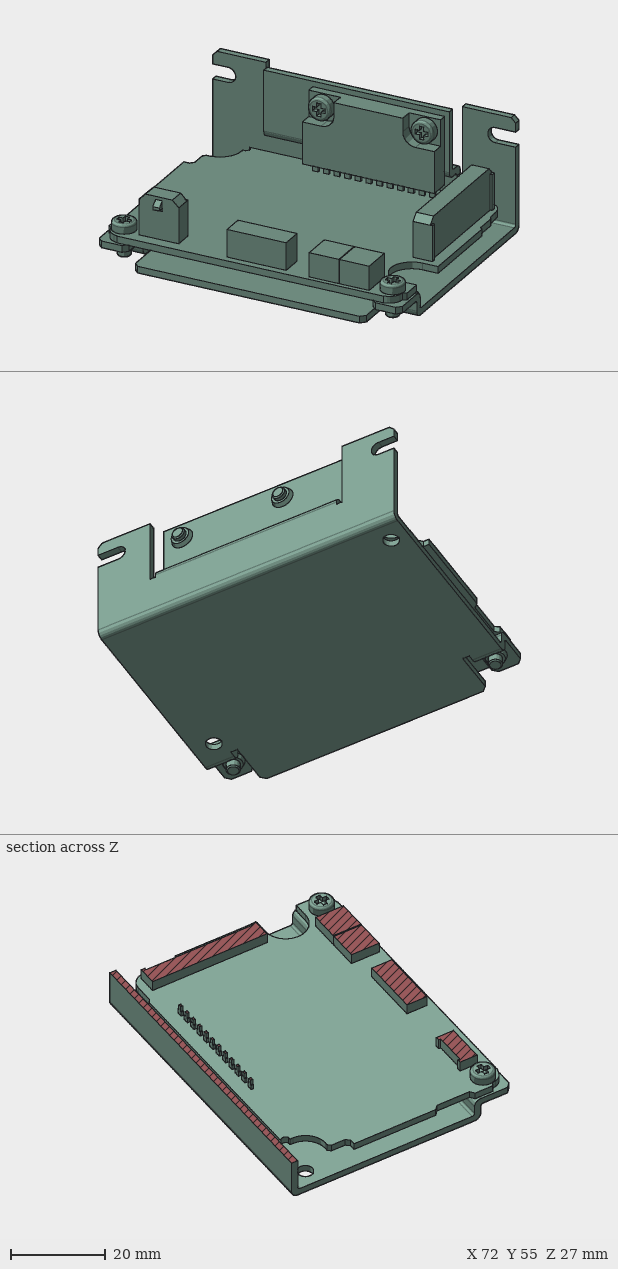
import cadquery as cq
import math


length = 72.0
depth = 55.0
height = 27.0
sheet = 1.6
bend_outer = 1.6
bend_inner = 0.6
corner_chamfer = 1.1
half_length = length / 2
hole_diameter = 3.5
base_holes = [(-31.9, -6.05), (30.9, -40.4)]

foot_inner_x = 29.0
front_edge_half = 27.4
foot_relief_y = -44.35
foot_web_y = -45.7
board_bottom = 5.6

tab_half = 22.0
relief_half = 23.3
relief_z = 10.45
tab_rear_y = -3.5
tab_front_y = tab_rear_y - sheet
tab_shelf_top = 12.7

slot_width = 3.5
slot_z = 22.0
left_slot_depth = 5.5
right_slot_depth = 6.6

board_thickness = 1.6
board_top = board_bottom + board_thickness
board_half = 35.4
board_rear_y = -3.45
board_front_y = -54.3
clearance_radius = 5.0

module_x = (-10.4, 20.95)
module_z = (9.65, 25.7)
module_thickness = 4.8
module_front_y = tab_front_y - module_thickness
notch_width = 7.5
notch_height = 6.2
notch_radius = 3.0
notch_floor_y = -7.0
pin_count = 12
pin_pitch = 2.5
pin_y = -7.1
pin_thickness = 0.6
pin_width = 0.8
pin_foot_width = 1.3
pin_foot_height = 1.15

head_diameter = 5.4
head_height = 2.15
head_round = 0.6
recess_length = 3.0
recess_width = 1.0
recess_depth = 1.1
shank_diameter = 3.0
shank_chamfer = 0.3
collar_root_diameter = 5.05
collar_tip_diameter = 4.25
collar_height = 1.0
board_screw_x = 31.9
board_screw_y = -50.4
board_screw_tip_z = 1.1
module_screw_xs = (-6.9, 17.5)
module_screw_z = 22.75
module_screw_tip_y = -1.45

connector_top = 17.1
connector_chamfer = 1.5
rib_thickness = 0.5
rib_width = 1.0
latch_reach = 1.3
latch_width = 1.6
latch_top = 16.4
latch_tip_top = 15.3
latch_bottom = 14.55
latch_pocket_bottom = 13.9
latch_pocket_depth = 0.7

front_connector_width = 9.4
front_connector_thickness = 3.8
front_connector_position = (-23.05, -51.6)

side_connector_length = 28.65
side_connector_thickness = 4.1
side_connector_position = (28.65, -20.45)
side_latch_offset = -0.35

header_x = (-6.3, 7.7)
header_y = (-52.6, -47.6)
header_top = 13.7
terminal_lefts = (13.5, 20.7)
terminal_width = 7.05
terminal_y = (-53.2, -46.2)
terminal_top = 12.9


def block(x_range, y_range, z_range):
    """Axis-aligned box given by its limits along each axis."""
    spans = [(min(r), max(r)) for r in (x_range, y_range, z_range)]
    sizes = [high - low for low, high in spans]
    corner = [low for low, high in spans]
    return cq.Workplane("XY").box(*sizes, centered=False).translate(tuple(corner))


def bent_strip(x_range, profile, outer_bends, inner_bends):
    """Strip with a constant (Y, Z) profile and rounded bends at the listed profile points."""
    x_start, x_end = x_range
    strip = cq.Workplane("YZ", origin=(x_start, 0, 0)).polyline(profile).close().extrude(x_end - x_start)
    for points, radius in ((outer_bends, bend_outer), (inner_bends, bend_inner)):
        for y, z in points:
            middle = ((x_start + x_end) / 2, y, z)
            strip = strip.edges(cq.selectors.NearestToPointSelector(middle)).fillet(radius)
    return strip


def make_angle():
    """Base plate and rear flange, before the feet and the tab are added."""
    heel = (0, 0)
    inside = (-sheet, sheet)
    profile = [heel, (0, height), (-sheet, height), inside, (-depth, sheet), (-depth, 0)]
    angle = bent_strip((-half_length, half_length), profile, [heel], [inside])
    angle = angle.edges("|Y and >Z").chamfer(corner_chamfer)
    for side in (-1, 1):
        foot_opening = block(
            (side * front_edge_half, side * half_length), (foot_relief_y, -depth), (0, sheet)
        )
        angle = angle.cut(foot_opening)
    angle = angle.edges("|Z and <Y").chamfer(corner_chamfer)
    tab_opening = block((-relief_half, relief_half), (-sheet, 0), (relief_z, height))
    holes = cq.Workplane("XY").pushPoints(base_holes).circle(hole_diameter / 2).extrude(sheet)
    return angle.cut(tab_opening).cut(holes)


def make_mounting_slot(side, slot_depth):
    """Cutter for a round-ended slot open to one end of the rear flange."""
    radius = slot_width / 2
    centre_x = side * (half_length - slot_depth + radius)
    straight = block((centre_x, side * half_length), (-sheet, 0), (slot_z - radius, slot_z + radius))
    round_end = cq.Workplane("XZ").center(centre_x, slot_z).circle(radius).extrude(sheet)
    return straight.union(round_end)


def make_foot(side):
    """Foot that steps up from the base plate to the underside of the board."""
    web_front_y = foot_web_y - sheet
    foot_bottom = board_bottom - sheet
    lower_outer = (web_front_y, 0)
    lower_inner = (foot_web_y, sheet)
    upper_outer = (foot_web_y, board_bottom)
    upper_inner = (web_front_y, foot_bottom)
    profile = [
        (foot_relief_y, 0), lower_outer, upper_inner, (-depth, foot_bottom),
        (-depth, board_bottom), upper_outer, lower_inner, (foot_relief_y, sheet),
    ]
    x_range = sorted((side * foot_inner_x, side * half_length))
    foot = bent_strip(x_range, profile, [lower_outer, upper_outer], [lower_inner, upper_inner])
    return foot.edges("|Z and <Y").chamfer(corner_chamfer)


def make_rear_tab():
    """Tab that leaves the rear flange forward and turns up parallel to it."""
    shelf_bottom = tab_shelf_top - sheet
    lower_outer = (0, tab_shelf_top)
    lower_inner = (-sheet, shelf_bottom)
    upper_outer = (tab_front_y, shelf_bottom)
    upper_inner = (tab_rear_y, tab_shelf_top)
    profile = [
        (0, relief_z), lower_outer, upper_inner, (tab_rear_y, height),
        (tab_front_y, height), upper_outer, lower_inner, (-sheet, relief_z),
    ]
    x_range = (-tab_half, tab_half)
    return bent_strip(x_range, profile, [lower_outer, upper_outer], [lower_inner, upper_inner])


def make_board():
    """Circuit board outline with clearances around the two base holes."""
    hole_x, hole_y = base_holes[0]
    diagonal = clearance_radius * math.sqrt(0.5)
    side_x, side_y = 31.75, -41.3
    notch_x = -26.3
    outline = (
        cq.Workplane("XY", origin=(0, 0, board_bottom))
        .moveTo(notch_x, board_rear_y)
        .lineTo(25.9, board_rear_y)
        .lineTo(26.5, -4.0)
        .lineTo(30.95, -4.0)
        .radiusArc((34.3, -7.35), 3.3)
        .lineTo(34.4, -10.2)
        .lineTo(34.85, -10.8)
        .lineTo(34.85, -15.55)
        .lineTo(board_half, -16.05)
        .lineTo(board_half, side_y + clearance_radius)
        .lineTo(side_x, side_y + clearance_radius)
        .threePointArc((side_x - clearance_radius, side_y), (side_x, side_y - clearance_radius))
        .lineTo(board_half, side_y - clearance_radius)
        .lineTo(board_half, -50.7)
        .lineTo(34.55, -51.1)
        .lineTo(34.4, -51.9)
        .threePointArc((33.5, -53.4), (32.55, -53.9))
        .lineTo(31.6, board_front_y)
        .lineTo(-31.6, board_front_y)
        .lineTo(-32.55, -53.9)
        .threePointArc((-33.5, -53.4), (-34.4, -51.9))
        .lineTo(-34.55, -51.1)
        .lineTo(-board_half, -50.7)
        .lineTo(-board_half, -46.2)
        .lineTo(-34.4, -45.5)
        .lineTo(-34.4, -37.4)
        .lineTo(-board_half, -36.35)
        .lineTo(-board_half, -16.0)
        .lineTo(-34.05, -16.0)
        .lineTo(-33.3, -15.1)
        .lineTo(-33.3, -11.7)
        .lineTo(-32.6, hole_y - clearance_radius)
        .lineTo(hole_x, hole_y - clearance_radius)
        .threePointArc((hole_x + diagonal, hole_y - diagonal), (hole_x + clearance_radius, hole_y))
        .lineTo(hole_x + clearance_radius, -5.3)
        .lineTo(notch_x, -5.3)
        .threePointArc((-25.7, -4.4), (notch_x, board_rear_y))
        .close()
    )
    return outline.extrude(board_thickness)


def make_module():
    """Power module with a screw notch in each upper corner and a row of pins below."""
    left, right = module_x
    bottom, top = module_z
    module = block(module_x, (tab_front_y, module_front_y), module_z)
    notch_z = (top - notch_height, top)
    for outer_x, inner_x in ((left, left + notch_width), (right, right - notch_width)):
        notch = block((outer_x, inner_x), (notch_floor_y, module_front_y), notch_z)
        inner_corner = (inner_x, (notch_floor_y + module_front_y) / 2, notch_z[0])
        notch = notch.edges(cq.selectors.NearestToPointSelector(inner_corner)).fillet(notch_radius)
        module = module.cut(notch)
    first_pin_x = (left + right) / 2 - pin_pitch * (pin_count - 1) / 2
    pin_ys = (pin_y - pin_thickness / 2, pin_y + pin_thickness / 2)
    for index in range(pin_count):
        x = first_pin_x + index * pin_pitch
        pin = block((x - pin_width / 2, x + pin_width / 2), pin_ys, (board_top, bottom))
        pin_foot = block(
            (x - pin_foot_width / 2, x + pin_foot_width / 2),
            pin_ys,
            (board_top, board_top + pin_foot_height),
        )
        module = module.union(pin).union(pin_foot)
    return module


def make_screw(shank_length, collar_start):
    """Cross-recess screw pointing down from Z = 0, with its collar collar_start below the head."""
    head = cq.Workplane("XY").circle(head_diameter / 2).extrude(head_height)
    head = head.faces(">Z").edges().fillet(head_round)
    recess = (
        cq.Workplane("XY", origin=(0, 0, head_height - recess_depth))
        .rect(recess_length, recess_width)
        .extrude(recess_depth)
    )
    recess = recess.union(recess.rotate((0, 0, 0), (0, 0, 1), 90))
    shank = cq.Workplane("XY").circle(shank_diameter / 2).extrude(-shank_length)
    shank = shank.faces("<Z").chamfer(shank_chamfer)
    collar = (
        cq.Workplane("XY", origin=(0, 0, -collar_start))
        .circle(collar_root_diameter / 2)
        .workplane(offset=-collar_height)
        .circle(collar_tip_diameter / 2)
        .loft()
    )
    return head.cut(recess).union(shank).union(collar)


def make_connector_body(width, thickness):
    """Chamfered body with a rib at each end of its back, standing on Z = 0 with its front at Y = 0."""
    body_height = connector_top - board_top
    body = block((-width / 2, width / 2), (0, thickness), (0, body_height))
    body = body.edges("|Y and >Z").chamfer(connector_chamfer)
    for side in (-1, 1):
        rib = block(
            (side * width / 2, side * (width / 2 - rib_width)),
            (thickness, thickness + rib_thickness),
            (0, body_height - connector_chamfer),
        )
        body = body.union(rib)
    return body


def make_latch(centre_x):
    """Wedge latch for a connector face at Y = 0, and the pocket below it."""
    latch_points = [
        (0, latch_top - board_top),
        (-latch_reach, latch_tip_top - board_top),
        (-latch_reach, latch_bottom - board_top),
        (0, latch_bottom - board_top),
    ]
    start_x = centre_x - latch_width / 2
    wedge = cq.Workplane("YZ", origin=(start_x, 0, 0)).polyline(latch_points).close().extrude(latch_width)
    pocket = block(
        (start_x, start_x + latch_width),
        (0, latch_pocket_depth),
        (latch_pocket_bottom - board_top, latch_bottom - board_top),
    )
    return wedge, pocket


def make_connector(width, thickness, latch_x):
    """Connector centred on X = 0 with a latch at latch_x on its -Y face."""
    wedge, pocket = make_latch(latch_x)
    return make_connector_body(width, thickness).cut(pocket).union(wedge)


result = make_angle()
for side, slot_depth in ((-1, left_slot_depth), (1, right_slot_depth)):
    result = result.cut(make_mounting_slot(side, slot_depth)).union(make_foot(side))
result = result.union(make_rear_tab())

result = result.union(make_board()).union(make_module())

board_screw = make_screw(board_top - board_screw_tip_z, board_thickness + sheet)
for side in (-1, 1):
    result = result.union(board_screw.translate((side * board_screw_x, board_screw_y, board_top)))

module_screw = make_screw(module_screw_tip_y - notch_floor_y, tab_rear_y - notch_floor_y)
module_screw = module_screw.rotate((0, 0, 0), (1, 0, 0), 90)
for x in module_screw_xs:
    result = result.union(module_screw.translate((x, notch_floor_y, module_screw_z)))

front_connector = make_connector(front_connector_width, front_connector_thickness, 0)
result = result.union(front_connector.translate((*front_connector_position, board_top)))

side_connector = make_connector(side_connector_length, side_connector_thickness, side_latch_offset)
side_connector = side_connector.rotate((0, 0, 0), (0, 0, 1), -90)
result = result.union(side_connector.translate((*side_connector_position, board_top)))

result = result.union(block(header_x, header_y, (board_top, header_top)))
for left in terminal_lefts:
    terminal = block((left, left + terminal_width), terminal_y, (board_top, terminal_top))
    result = result.union(terminal)